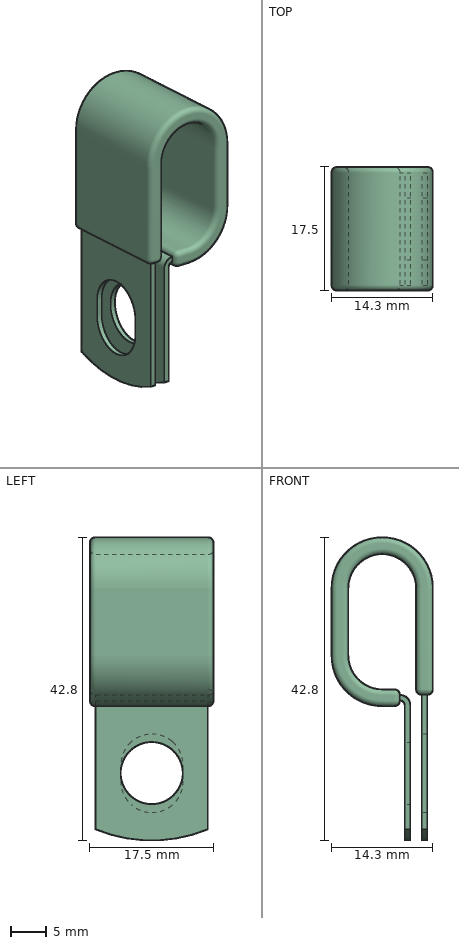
import cadquery as cq
import math

inch = 25.4

bore_radius = 3 / 16 * inch
straight_length = 3 / 8 * inch
strap_thickness = 0.032 * inch
strap_width = 5 / 8 * inch
cushion_cover = inch / 32
leg_gap = inch / 16
bend_inner_radius = 0.025 * inch
cushion_tail = 1.7
bolt_hole_diameter = 11 / 32 * inch
bolt_slot_length = 7 / 16 * inch
bolt_hole_to_tip = 3 / 8 * inch
tip_bulge = inch / 16
overall_height = 42.8

strap_inner_radius = bore_radius + cushion_cover
strap_outer_radius = strap_inner_radius + strap_thickness
loop_outer_radius = strap_outer_radius + cushion_cover
cushion_width = strap_width + 2 * cushion_cover
lower_axis_z = -straight_length
tip_z = loop_outer_radius - overall_height
tip_corner_z = tip_z + tip_bulge
bolt_hole_z = tip_z + bolt_hole_to_tip
short_leg_outer_x = strap_inner_radius - leg_gap
short_leg_inner_x = short_leg_outer_x - strap_thickness
bend_start_x = short_leg_inner_x - bend_inner_radius
bend_outer_radius = bend_inner_radius + strap_thickness
bend_axis_z = lower_axis_z - strap_outer_radius - bend_inner_radius
cushion_long_end_z = lower_axis_z - bore_radius - cushion_cover
cushion_short_end_x = cushion_tail + cushion_cover


def arc_end(centre_x, centre_z, radius, angle):
    """Point on a circle in the XZ plane, at an angle in degrees from +X."""
    turn = math.radians(angle)
    return (centre_x + radius * math.cos(turn), centre_z + radius * math.sin(turn))


def add_arc(sketch, centre_x, centre_z, radius, start, end):
    """Continue an outline along an arc from the start angle to the end angle."""
    middle = arc_end(centre_x, centre_z, radius, (start + end) / 2)
    return sketch.threePointArc(middle, arc_end(centre_x, centre_z, radius, end))


def extrude_across(sketch, width):
    """Extrude a closed XZ outline to a width centred on Y = 0."""
    return sketch.close().extrude(width / 2, both=True)


def make_cushion():
    """J-shaped rubber band with every edge rounded."""
    outline = cq.Workplane("XZ").moveTo(loop_outer_radius, cushion_long_end_z)
    outline = outline.lineTo(loop_outer_radius, 0)
    outline = add_arc(outline, 0, 0, loop_outer_radius, 0, 180)
    outline = outline.lineTo(-loop_outer_radius, lower_axis_z)
    outline = add_arc(outline, 0, lower_axis_z, loop_outer_radius, 180, 270)
    outline = outline.lineTo(cushion_short_end_x, lower_axis_z - loop_outer_radius)
    outline = outline.lineTo(cushion_short_end_x, lower_axis_z - bore_radius)
    outline = outline.lineTo(0, lower_axis_z - bore_radius)
    outline = add_arc(outline, 0, lower_axis_z, bore_radius, 270, 180)
    outline = outline.lineTo(-bore_radius, 0)
    outline = add_arc(outline, 0, 0, bore_radius, 180, 0)
    outline = outline.lineTo(bore_radius, cushion_long_end_z)
    band = extrude_across(outline, cushion_width)
    band_middle = (bore_radius + loop_outer_radius) / 2
    long_end = (band_middle, 0, cushion_long_end_z)
    short_end = (cushion_short_end_x, 0, lower_axis_z - band_middle)
    rounded_edges = band.faces("<Y or >Y").edges()
    for end_centre in (long_end, short_end):
        end_face = band.faces(cq.selectors.NearestToPointSelector(end_centre))
        rounded_edges = rounded_edges.add(end_face.edges("|Y"))
    return rounded_edges.fillet(cushion_cover)


def make_strap():
    """Metal strap: long straight leg, loop, and short leg bent down beside the long one."""
    outline = cq.Workplane("XZ").moveTo(strap_outer_radius, tip_z)
    outline = outline.lineTo(strap_outer_radius, 0)
    outline = add_arc(outline, 0, 0, strap_outer_radius, 0, 180)
    outline = outline.lineTo(-strap_outer_radius, lower_axis_z)
    outline = add_arc(outline, 0, lower_axis_z, strap_outer_radius, 180, 270)
    outline = outline.lineTo(bend_start_x, lower_axis_z - strap_outer_radius)
    outline = add_arc(outline, bend_start_x, bend_axis_z, bend_inner_radius, 90, 0)
    outline = outline.lineTo(short_leg_inner_x, tip_z)
    outline = outline.lineTo(short_leg_outer_x, tip_z)
    outline = outline.lineTo(short_leg_outer_x, bend_axis_z)
    outline = add_arc(outline, bend_start_x, bend_axis_z, bend_outer_radius, 0, 90)
    outline = outline.lineTo(0, lower_axis_z - strap_inner_radius)
    outline = add_arc(outline, 0, lower_axis_z, strap_inner_radius, 270, 180)
    outline = outline.lineTo(-strap_inner_radius, 0)
    outline = add_arc(outline, 0, 0, strap_inner_radius, 180, 0)
    outline = outline.lineTo(strap_inner_radius, tip_z)
    return extrude_across(outline, strap_width)


def make_leg_silhouette():
    """Strap blank seen along X: straight sides and a bulged lower tip."""
    half_width = strap_width / 2
    blank = (
        cq.Workplane("YZ")
        .moveTo(-half_width, loop_outer_radius)
        .lineTo(-half_width, tip_corner_z)
        .threePointArc((0, tip_z), (half_width, tip_corner_z))
        .lineTo(half_width, loop_outer_radius)
        .close()
    )
    return blank.extrude(loop_outer_radius, both=True)


def cut_bolt_openings(strap):
    """Round hole through both legs, lengthened into a vertical slot in the long leg."""
    centre = cq.Workplane("YZ").center(0, bolt_hole_z)
    hole = centre.circle(bolt_hole_diameter / 2).extrude(loop_outer_radius)
    slot = (
        centre.workplane(offset=strap_inner_radius - leg_gap / 2)
        .slot2D(bolt_slot_length, bolt_hole_diameter, 90)
        .extrude(leg_gap + strap_thickness)
    )
    return strap.cut(hole).cut(slot)


strap = cut_bolt_openings(make_strap().intersect(make_leg_silhouette()))
result = make_cushion().union(strap)